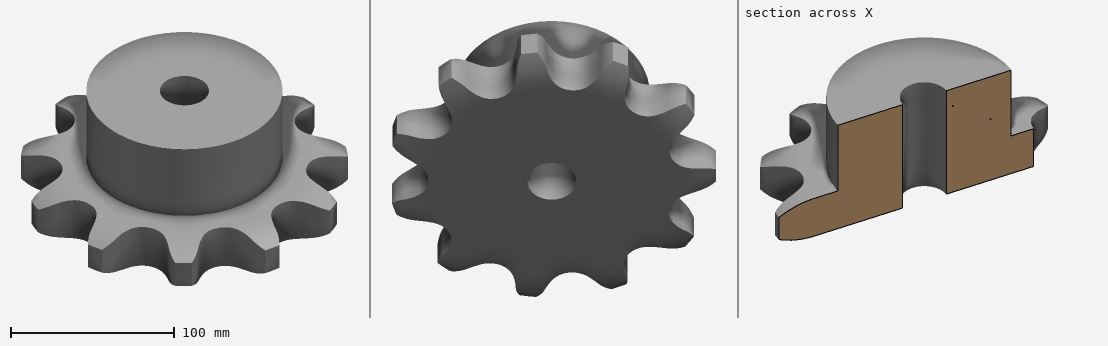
import cadquery as cq
import math

tooth_count = 11
height = 80.0
plate_thickness = 29.4
hub_diameter = 120.0
bore_diameter = 30.0

chain_pitch = 50.8
tip_radius = 100.4

crown_start_radius = 76.4
crown_arc_radius = 50.8

half_pitch_angle = math.pi / tooth_count
pitch_radius = chain_pitch / (2 * math.sin(half_pitch_angle))
seat_radius = 14.8
transition_radius = 38.0
working_face_length = 2.8
topping_radius = 24.8
seat_half_angle = math.radians(55 - 60 / tooth_count)
transition_angle = math.radians(18 - 56 / tooth_count)


def offset(point, distance, angle):
    """Move a point by a distance along a direction."""
    return (point[0] + distance * math.cos(angle), point[1] + distance * math.sin(angle))


def gap_flank():
    """Points of one flank, for a gap centred on +X, from the seat bottom out to the tip.

    Each piece is tangent to the one before it. Angles of the gap arcs are measured
    at their centres, falling from the inward direction (pi) towards the flank.
    """
    seat_centre = (pitch_radius, 0.0)
    seat_end_angle = math.pi - seat_half_angle
    face_angle = seat_end_angle - transition_angle

    seat_bottom = offset(seat_centre, seat_radius, math.pi)
    seat_end = offset(seat_centre, seat_radius, seat_end_angle)

    transition_centre = offset(seat_end, -transition_radius, seat_end_angle)
    transition_mid_angle = (seat_end_angle + face_angle) / 2
    transition_mid = offset(transition_centre, transition_radius, transition_mid_angle)
    face_start = offset(transition_centre, transition_radius, face_angle)
    face_end = offset(face_start, working_face_length, face_angle - math.pi / 2)

    topping_centre = offset(face_end, topping_radius, face_angle)
    centre_distance = math.hypot(*topping_centre)
    centre_angle = math.atan2(topping_centre[1], topping_centre[0])
    tip_offset_angle = math.acos(
        (centre_distance**2 + tip_radius**2 - topping_radius**2) / (2 * centre_distance * tip_radius)
    )
    tip = offset((0.0, 0.0), tip_radius, centre_angle - tip_offset_angle)
    topping_start_angle = face_angle - math.pi
    topping_end_angle = math.atan2(tip[1] - topping_centre[1], tip[0] - topping_centre[0])
    topping_mid_angle = (topping_start_angle + topping_end_angle) / 2
    topping_mid = offset(topping_centre, topping_radius, topping_mid_angle)

    return seat_bottom, seat_end, transition_mid, face_start, face_end, topping_mid, tip


def rotated(point, angle):
    """Turn a point about the part axis."""
    return offset((0.0, 0.0), math.hypot(*point), math.atan2(point[1], point[0]) + angle)


def mirrored(point):
    """Reflect a point across the X axis."""
    return (point[0], -point[1])


def toothed_disc():
    """Flat disc with the full tooth outline, one gap centred on +Y."""
    flank = gap_flank()
    first_gap_angle = math.pi / 2
    gap_step = 2 * half_pitch_angle

    first_tip = rotated(mirrored(flank[-1]), first_gap_angle)
    outline = cq.Workplane("XY").moveTo(*first_tip)
    for gap in range(tooth_count):
        gap_angle = first_gap_angle + gap * gap_step
        entry = [rotated(mirrored(point), gap_angle) for point in flank]
        leave = [rotated(point, gap_angle) for point in flank]
        bottom, seat_start, entry_transition, entry_inner, entry_outer, entry_topping, entry_tip = entry
        _, seat_end, leave_transition, leave_inner, leave_outer, leave_topping, leave_tip = leave
        tooth_middle = offset((0.0, 0.0), tip_radius, gap_angle + half_pitch_angle)
        next_entry_tip = rotated(entry_tip, gap_step)

        outline = (
            outline.threePointArc(entry_topping, entry_outer)
            .lineTo(*entry_inner)
            .threePointArc(entry_transition, seat_start)
            .threePointArc(bottom, seat_end)
            .threePointArc(leave_transition, leave_inner)
            .lineTo(*leave_outer)
            .threePointArc(leave_topping, leave_tip)
            .threePointArc(tooth_middle, next_entry_tip)
        )
    return outline.close().extrude(plate_thickness)


def crowned_blank():
    """Round blank whose rim narrows by an arc on both faces."""
    crown_angle = math.asin((tip_radius - crown_start_radius) / crown_arc_radius)

    def crown_point(angle):
        """Radius and depth below the face at an angle along the crown arc."""
        radius = crown_start_radius + crown_arc_radius * math.sin(angle)
        drop = crown_arc_radius * (1 - math.cos(angle))
        return radius, drop

    rim_radius, rim_drop = crown_point(crown_angle)
    mid_radius, mid_drop = crown_point(crown_angle / 2)
    return (
        cq.Workplane("XZ")
        .lineTo(crown_start_radius, 0)
        .threePointArc((mid_radius, mid_drop), (rim_radius, rim_drop))
        .lineTo(rim_radius, plate_thickness - rim_drop)
        .threePointArc((mid_radius, plate_thickness - mid_drop), (crown_start_radius, plate_thickness))
        .lineTo(0, plate_thickness)
        .close()
        .revolve(360, (0, 0, 0), (0, 1, 0))
    )


hub = cq.Workplane("XY").circle(hub_diameter / 2).extrude(height)
bore = cq.Workplane("XY").circle(bore_diameter / 2).extrude(height)

result = toothed_disc().intersect(crowned_blank()).union(hub).cut(bore)